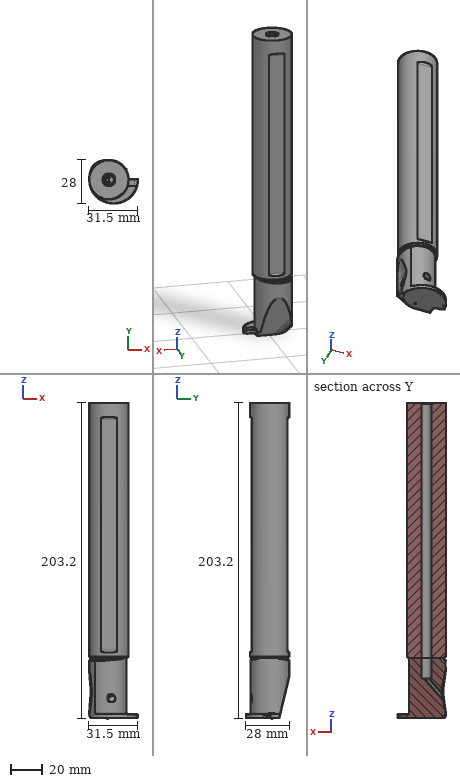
import cadquery as cq
import math


total_height = 203.2
shank_diameter = 25.5
shank_radius = shank_diameter / 2
seat_z = 39.0
neck_radius = 11.5
edge_bevel = shank_radius - neck_radius
flat_distance = 11.5
flat_bottom_z = 42.5
flat_top_z = 194.3
flat_end_radius = 1.6

bore_radius = 3.3
bore_mouth_radius = 4.0
bore_bottom_z = 26.0
branch_radius = 1.6
branch_exit = (-13.0, 0, 11.0)

base_z = 0.5
neck_height = 0.6
disc_diameter = 31.5
disc_radius = disc_diameter / 2
disc_center = (3.0, 0.5)
disc_top_z = 3.0
core_radius = 12.5
core_center = (-1.2, 0.1)
root_fillet = 0.6

point_center = (-1.0, 1.5)
point_radius = 0.5

edge_y = 0.5
web_fillet = 2.6
core_right_x = core_center[0] + core_radius
blade_right_x = disc_center[0] + disc_radius
chip_groove_depth = 0.2
chip_groove_start_x = core_right_x + root_fillet + chip_groove_depth
chip_groove_y = -4.0
tip_bevel_length = 2.2
tip_bevel_depth = 0.6

heel_y = 6.0
heel_radius = 12.2
heel_center_x = 1.2
heel_lean = (-1.0, 0.24, 1.0)

scoop_y = -1.5
scoop_z = 17.5
scoop_floor_x = -9.8
scoop_rim_radius = 14.2
scoop_bend_height = 4.9
scoop_slope = 12.5

recess_x = 1.5
recess_z = 13.5
recess_radius = 2.5
recess_depth = 4.0
recess_dip = 15.0
recess_turn = 8.0

far = 4 * shank_radius


def cylinder(radius, bottom_z, top_z, center=(0, 0)):
    base = cq.Workplane("XY", origin=(center[0], center[1], bottom_z))
    return base.circle(radius).extrude(top_z - bottom_z)


def flat_cutter():
    """Long flat on the -Y side, rounded into the shank at both ends."""
    length = flat_top_z - flat_bottom_z
    slab = cq.Workplane("XY", origin=(0, -flat_distance, flat_bottom_z))
    slab = slab.rect(far, 2 * shank_radius).extrude(length)
    slab = slab.translate((0, -shank_radius, 0))
    return slab.faces(">Y").edges("|X").fillet(flat_end_radius)


def coolant_bore():
    bore = cylinder(bore_radius, bore_bottom_z, total_height)
    mouth_depth = bore_mouth_radius - bore_radius
    mouth = cq.Solid.makeCone(
        bore_radius, bore_mouth_radius, mouth_depth, cq.Vector(0, 0, total_height - mouth_depth)
    )
    return bore.union(cq.Workplane(mouth))


def coolant_branch():
    """Narrow slanting hole from the foot of the bore out through the scoop floor."""
    start = cq.Vector(0, 0, bore_bottom_z)
    run = cq.Vector(*branch_exit) - start
    return cq.Workplane(cq.Solid.makeCylinder(branch_radius, run.Length, start, run))


def make_shank():
    shank = cylinder(shank_radius, seat_z, total_height).faces("<Z").chamfer(edge_bevel)
    for angle in (0, 180):
        shank = shank.cut(flat_cutter().rotate((0, 0, 0), (0, 0, 1), angle))
    return shank.cut(coolant_bore())


def root_ring():
    """Fillet around the foot of the core, kept inside the disc outline."""
    ring = (
        cq.Workplane("XZ", origin=(core_center[0], core_center[1], 0))
        .moveTo(0, disc_top_z)
        .lineTo(core_radius + root_fillet, disc_top_z)
        .radiusArc((core_radius, disc_top_z + root_fillet), root_fillet)
        .lineTo(0, disc_top_z + root_fillet)
        .close()
        .revolve(360, (0, 0, 0), (0, 1, 0))
    )
    return ring.intersect(cylinder(disc_radius, base_z, seat_z, disc_center))


def head_blank():
    """Lens-shaped stem, where core and disc overlap, on a wider blade disc."""
    stem = cylinder(core_radius, base_z, seat_z, core_center)
    stem = stem.intersect(cylinder(disc_radius, base_z, seat_z, disc_center))
    shoulder_z = seat_z - neck_height - edge_bevel
    envelope = (
        cq.Workplane("XZ")
        .polyline([
            (0, 0),
            (-far, 0),
            (-far, shoulder_z),
            (-shank_radius, shoulder_z),
            (-neck_radius, shoulder_z + edge_bevel),
            (-neck_radius, seat_z),
            (0, seat_z),
        ])
        .close()
        .revolve(360, (0, 0, 0), (0, 1, 0))
    )
    disc = cylinder(disc_radius, base_z, disc_top_z, disc_center)
    return stem.intersect(envelope).union(disc).union(root_ring())


def blade_end_cutter():
    """Ends the blade at the cutting edge, with a round inner corner against the stem."""
    return (
        cq.Workplane("XY")
        .moveTo(core_right_x, far)
        .lineTo(core_right_x, edge_y + web_fillet)
        .radiusArc((core_right_x + web_fillet, edge_y), -web_fillet)
        .lineTo(far, edge_y)
        .lineTo(far, far)
        .close()
        .extrude(seat_z)
    )


def chip_groove():
    """Shallow rake on top of the blade next to the cutting edge."""
    base = cq.Workplane("XY", origin=(chip_groove_start_x, chip_groove_y, disc_top_z - chip_groove_depth))
    return base.rect(far, far, centered=False).extrude(root_fillet + chip_groove_depth)


def tip_bevels():
    """Narrow the tip of the cutting edge from above and below."""
    start_x = blade_right_x - tip_bevel_length
    rake_z = disc_top_z - chip_groove_depth
    bevels = cq.Workplane("XZ", origin=(0, chip_groove_y, 0))
    for face_z, inward in ((rake_z, -1), (base_z, 1)):
        wedge = [
            (start_x, face_z),
            (blade_right_x, face_z + inward * tip_bevel_depth),
            (blade_right_x, face_z),
        ]
        bevels = bevels.polyline(wedge).close()
    return bevels.extrude(chip_groove_y - edge_y)


def heel_envelope():
    """Leaning prism that holds the head: a flat back and one large round corner."""
    outline = (
        cq.Workplane("XY")
        .moveTo(2 * far, heel_y)
        .lineTo(heel_center_x, heel_y)
        .radiusArc((heel_center_x - heel_radius, heel_y - heel_radius), -heel_radius)
        .lineTo(heel_center_x - heel_radius, -far)
        .lineTo(2 * far, -far)
        .close()
        .val()
    )
    return cq.Workplane(cq.Solid.extrudeLinear(outline, [], cq.Vector(*heel_lean) * seat_z))


def chip_scoop():
    """Two cones joined by a rounded rim that bulges into the head."""
    slope = math.radians(scoop_slope)
    bend_rise = scoop_bend_height / 2
    bend_radius = bend_rise / math.sin(slope)
    bend_end = scoop_rim_radius - bend_radius * (1 - math.cos(slope))
    tip_rise = bend_rise + bend_end / math.tan(slope)
    axis_x = scoop_floor_x - scoop_rim_radius
    return (
        cq.Workplane("XZ", origin=(axis_x, scoop_y, scoop_z))
        .moveTo(0, -tip_rise)
        .lineTo(bend_end, -bend_rise)
        .threePointArc((scoop_rim_radius, 0), (bend_end, bend_rise))
        .lineTo(0, tip_rise)
        .close()
        .revolve(360, (0, 0, 0), (0, 1, 0))
    )


def side_recess():
    """Slanted blind hole, started outside the head so that its mouth is open all round."""
    dip = math.radians(recess_dip)
    turn = math.radians(recess_turn)
    inward = cq.Vector(math.sin(turn) * math.cos(dip), math.cos(turn) * math.cos(dip), -math.sin(dip))
    mouth = cq.Vector(recess_x, -shank_radius, recess_z)
    start = mouth - inward * recess_radius
    return cq.Workplane(cq.Solid.makeCylinder(recess_radius, recess_depth + recess_radius, start, inward))


def center_point():
    """Small cone under the disc, pointing down to z = 0."""
    cone = cq.Solid.makeCone(0, point_radius, base_z, cq.Vector(*point_center, 0))
    return cq.Workplane(cone)


def make_head():
    head = head_blank().intersect(heel_envelope())
    cutters = (
        blade_end_cutter(),
        chip_groove(),
        tip_bevels(),
        chip_scoop(),
        side_recess(),
        coolant_bore(),
        coolant_branch(),
    )
    for cutter in cutters:
        head = head.cut(cutter)
    return head.union(center_point())


shank = make_shank()
head = make_head()
result = cq.Compound.makeCompound([shank.val(), head.val()])